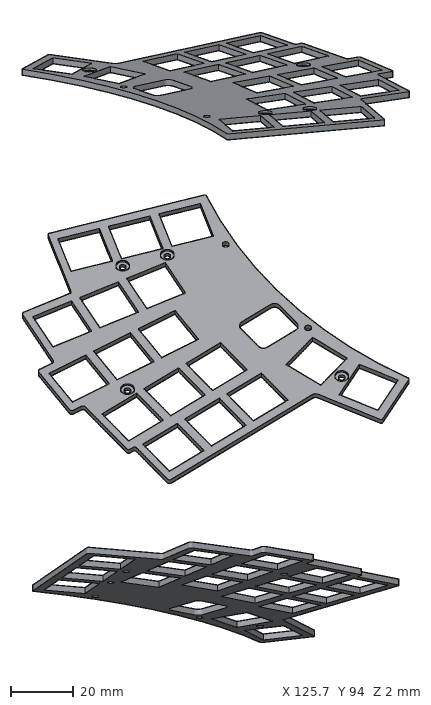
import cadquery as cq
import math

thickness = 2.0

window = 14.0
row_pitch = 17.0

column_1 = (31.7, 60.1, 0)
column_2 = (49.5, 62.9, 0)
column_3 = (71.0, 66.9, -5)
column_4 = (90.7, 57.7, -10)
column_5 = (107.4, 34.1, -20)
columns = [column_1, column_2, column_3, column_4, column_5]

outer_thumb = (13.1, 12.5, 25)
inner_thumb = (31.7, 19.1, 15)

side_border = 3.0
top_border = 2.5
side_reach = window / 2 + side_border
column_top_reach = row_pitch + window / 2 + top_border

arch_x = 65.9
arch_top = 11.5
arch_radius = 150.9
arch_center_y = arch_top - arch_radius

step_radius = 0.9
tip_radius = 0.5
bay_radius = 1.8

screw_points = [(59.6, 74.2), (100.7, 44.5), (95.6, 30.4), (22.0, 16.5)]
screw_diameter = 2.1
seat_diameter = 4.4
seat_depth = 0.8

plain_hole_points = [(44.3, 13.0), (87.5, 13.0)]

opening_center = (52.6, 22.4)
opening_width = 13.2
opening_height = 15.6
opening_radius = 2.0


def place(key, along, up):
    """Plate position of a point given in the tilted axes of a key."""
    x, y, tilt = key
    cosine = math.cos(math.radians(tilt))
    sine = math.sin(math.radians(tilt))
    return (x + along * cosine - up * sine, y + along * sine + up * cosine)


def side_line(key, side):
    """Border line along the left (-1) or right (+1) side of a key: point and direction angle."""
    return place(key, side * side_reach, 0), math.radians(key[2] + 90)


def top_line(key, reach):
    """Border line above a key: point and direction angle."""
    return place(key, 0, reach), math.radians(key[2])


def meet(line_a, line_b):
    """Crossing point of two lines."""
    (ax, ay), a = line_a
    (bx, by), b = line_b
    t = ((bx - ax) * math.sin(b) - (by - ay) * math.cos(b)) / math.sin(b - a)
    return (ax + t * math.cos(a), ay + t * math.sin(a))


def meet_arch(line):
    """Upper crossing point of a line, directed upwards, with the arch circle."""
    (px, py), a = line
    dx = px - arch_x
    dy = py - arch_center_y
    half = dx * math.cos(a) + dy * math.sin(a)
    t = -half + math.sqrt(half**2 - dx**2 - dy**2 + arch_radius**2)
    return (px + t * math.cos(a), py + t * math.sin(a))


thumb_side = side_line(outer_thumb, -1)
thumb_top = top_line(outer_thumb, side_reach)
right_side = side_line(column_5, 1)
left_tip = meet_arch(thumb_side)
right_tip = meet_arch(right_side)
thumb_corner = meet(thumb_side, thumb_top)
bay_corner = meet(thumb_top, side_line(column_1, -1))
step_lines = [
    side_line(column_1, -1),
    top_line(column_1, column_top_reach),
    side_line(column_2, -1),
    top_line(column_2, column_top_reach),
    side_line(column_3, -1),
    top_line(column_3, column_top_reach),
    side_line(column_3, 1),
    top_line(column_4, column_top_reach),
    side_line(column_4, 1),
    top_line(column_5, column_top_reach),
]
step_corners = [meet(a, b) for a, b in zip(step_lines, step_lines[1:])]
shoulder_corner = meet(step_lines[-1], right_side)


def round_corners(body, corners, radius):
    """Fillet the upright edges standing at the given outline corners."""
    for x, y in corners:
        nearest = cq.selectors.NearestToPointSelector((x, y, thickness / 2))
        body = body.edges("|Z").edges(nearest).fillet(radius)
    return body


def make_blank():
    corners = [left_tip, thumb_corner, bay_corner, *step_corners, shoulder_corner, right_tip]
    blank = (
        cq.Workplane("XY")
        .polyline(corners)
        .threePointArc((arch_x, arch_top), left_tip)
        .close()
        .extrude(thickness)
    )
    blank = round_corners(blank, step_corners, step_radius)
    blank = round_corners(blank, [bay_corner], bay_radius)
    return round_corners(blank, [left_tip, thumb_corner, shoulder_corner, right_tip], tip_radius)


def cut_window(body, center, tilt):
    cutter = (
        cq.Workplane("XY")
        .rect(window, window)
        .extrude(thickness)
        .rotate((0, 0, 0), (0, 0, 1), tilt)
        .translate((*center, 0))
    )
    return body.cut(cutter)


def cut_opening(body):
    cutter = (
        cq.Workplane("XY")
        .center(*opening_center)
        .rect(opening_width, opening_height)
        .extrude(thickness)
        .edges("|Z")
        .fillet(opening_radius)
    )
    return body.cut(cutter)


def cut_round(body, points, diameter, floor):
    """Cut round holes from the top face down to the height of the floor."""
    cutter = (
        cq.Workplane("XY")
        .workplane(offset=floor)
        .pushPoints(points)
        .circle(diameter / 2)
        .extrude(thickness - floor)
    )
    return body.cut(cutter)


plate = make_blank()
for column in columns:
    for row in (-1, 0, 1):
        plate = cut_window(plate, place(column, 0, row * row_pitch), column[2])
for thumb_x, thumb_y, thumb_tilt in (outer_thumb, inner_thumb):
    plate = cut_window(plate, (thumb_x, thumb_y), thumb_tilt)
plate = cut_opening(plate)
plate = cut_round(plate, screw_points + plain_hole_points, screw_diameter, 0)
plate = cut_round(plate, screw_points, seat_diameter, thickness - seat_depth)

result = plate